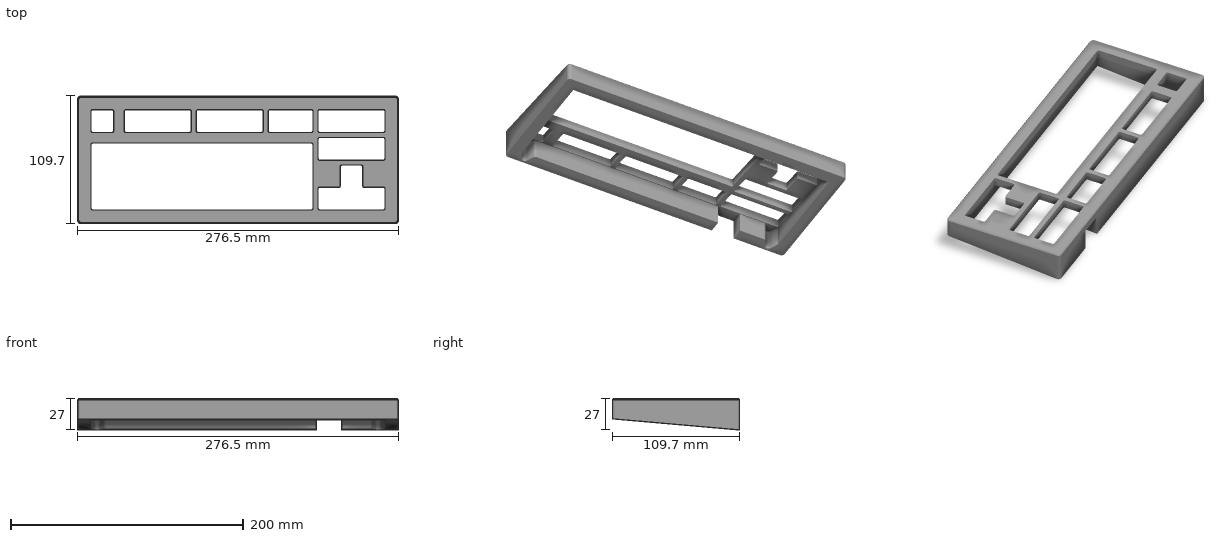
import cadquery as cq
import math


LENGTH = 276.5
WIDTH = 109.7
HEIGHT = 27.0
TILT = 5.0
CORNER_RADIUS = 5.8 / 2
TOP_CHAMFER = 1.0
FRONT_RISE = WIDTH * math.tan(math.radians(TILT))

KEY = 19.0
KEY_COLUMNS = 13.25
KEY_ROWS = 4.5
CLEARANCE = 0.15
KEY_CORNER_RADIUS = 1.25
KEYS_LEFT = (LENGTH - KEY_COLUMNS * KEY) / 2
KEYS_BACK = (WIDTH + KEY_ROWS * KEY) / 2

KEY_BLOCKS = [
    (0, 0, 1, 1),
    (1.5, 0, 3, 1),
    (4.75, 0, 3, 1),
    (8, 0, 2, 1),
    (0, 1.5, 10, 3),
    (10.25, 0, 3, 1),
    (10.25, 1.25, 3, 1),
]
ARROW_ROW = (10.25, 3.5, 3, 1)
ARROW_UP = (11.25, 2.5, 1, 2)

PLATE = 8.0
WALL = 11.0
RELIEF_MOUTH = 12.5
RELIEF_SLANT = 26.0
RELIEF_ROUNDING = CORNER_RADIUS
CAVITY_TOP = HEIGHT - PLATE
CAVITY_BACK = WIDTH - WALL

NOTCH_LEFT = 205.6
NOTCH_RIGHT = 227.5


def make_shell():
    """Wedge-shaped block with rounded upright corners and a chamfered top rim."""
    profile = [(0, FRONT_RISE), (WIDTH, 0), (WIDTH, HEIGHT), (0, HEIGHT)]
    block = cq.Workplane("YZ").polyline(profile).close().extrude(LENGTH)
    return block.edges("|Z").fillet(CORNER_RADIUS).faces(">Z").chamfer(TOP_CHAMFER)


def key_block(column, row, columns, rows):
    """Square-cornered cutter through the key plate for a block of keys."""
    return (
        cq.Workplane("XY", origin=(0, 0, CAVITY_TOP))
        .center(
            KEYS_LEFT + (column + columns / 2) * KEY,
            KEYS_BACK - (row + rows / 2) * KEY,
        )
        .rect(columns * KEY + 2 * CLEARANCE, rows * KEY + 2 * CLEARANCE)
        .extrude(PLATE)
    )


def round_upright_edges(cutter):
    return cutter.edges("|Z").fillet(KEY_CORNER_RADIUS)


def make_cavity():
    """Pocket open at the bottom, with a rounded, tapered pocket behind each back corner."""
    right = LENGTH - WALL
    half_mouth = RELIEF_MOUTH / 2
    apex_y = CAVITY_BACK + half_mouth / math.tan(math.radians(RELIEF_SLANT))
    outline = [
        (WALL, WALL),
        (right, WALL),
        (right, CAVITY_BACK),
        (right - half_mouth, apex_y),
        (right - RELIEF_MOUTH, CAVITY_BACK),
        (WALL + RELIEF_MOUTH, CAVITY_BACK),
        (WALL + half_mouth, apex_y),
        (WALL, CAVITY_BACK),
    ]
    rounded_edges = cq.selectors.BoxSelector(
        (WALL + half_mouth / 2, WALL + half_mouth, 0),
        (right - half_mouth / 2, apex_y + WALL, CAVITY_TOP),
    )
    cavity = cq.Workplane("XY").polyline(outline).close().extrude(CAVITY_TOP)
    return cavity.edges("|Z").edges(rounded_edges).fillet(RELIEF_ROUNDING)


def make_notch():
    """Cable notch from the key plate down through the bottom of the back wall."""
    return cq.Workplane("XY").box(
        NOTCH_RIGHT - NOTCH_LEFT, WALL, CAVITY_TOP, centered=False
    ).translate((NOTCH_LEFT, CAVITY_BACK, 0))


result = make_shell().cut(make_cavity()).cut(make_notch())
for block in KEY_BLOCKS:
    result = result.cut(round_upright_edges(key_block(*block)))
arrow_keys = key_block(*ARROW_ROW).union(key_block(*ARROW_UP))
result = result.cut(round_upright_edges(arrow_keys))